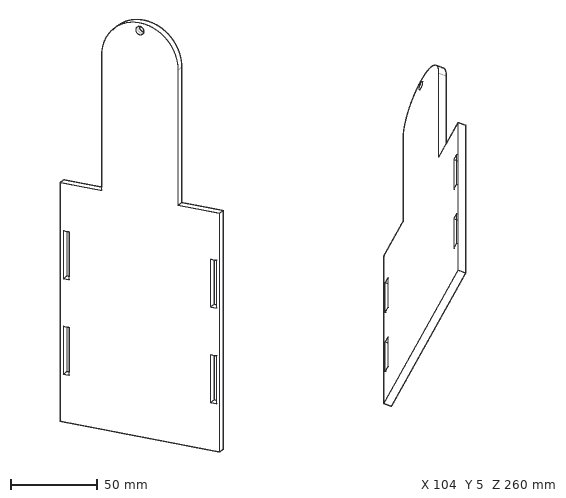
import cadquery as cq

total_height = 260.0
body_width = 104.0
body_height = 150.0
thickness = 5.0

handle_width = 50.0
handle_radius = handle_width / 2
hang_hole_diameter = 5.2
hang_hole_from_top = 5.0

slot_width = 4.0
slot_edge_margin = 2.0
slot_length = body_height / 5
slot_x = body_width / 2 - slot_edge_margin - slot_width / 2
slot_heights = [1.5 * slot_length, 3.5 * slot_length]


def make_plate():
    """Body and handle as one outline, standing in the XZ plane."""
    arc_start_z = total_height - handle_radius
    return (
        cq.Workplane("XZ")
        .moveTo(-body_width / 2, 0)
        .lineTo(body_width / 2, 0)
        .lineTo(body_width / 2, body_height)
        .lineTo(handle_radius, body_height)
        .lineTo(handle_radius, arc_start_z)
        .threePointArc((0, total_height), (-handle_radius, arc_start_z))
        .lineTo(-handle_radius, body_height)
        .lineTo(-body_width / 2, body_height)
        .close()
        .extrude(thickness / 2, both=True)
    )


def make_slots():
    centres = [(side * slot_x, z) for side in (-1, 1) for z in slot_heights]
    return (
        cq.Workplane("XZ")
        .pushPoints(centres)
        .rect(slot_width, slot_length)
        .extrude(thickness, both=True)
    )


def make_hang_hole():
    return (
        cq.Workplane("XZ")
        .center(0, total_height - hang_hole_from_top)
        .circle(hang_hole_diameter / 2)
        .extrude(thickness, both=True)
    )


result = make_plate().cut(make_slots()).cut(make_hang_hole())